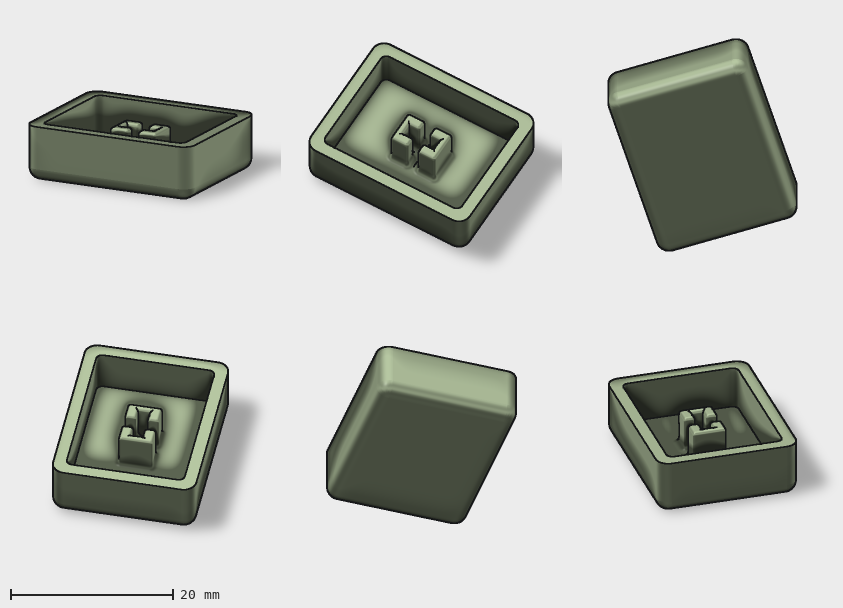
import cadquery as cq

length = 22.8
width = 18.05
height = 7.0
wall = 1.6
floor_thickness = 1.6
outer_radius = 1.6
bottom_radius = 1.57
cavity_radius = 0.8

gap = 1.44
bracket_length = 2.45
bracket_width = 4.29
bracket_height = 4.45
notch_depth = 1.44
notch_width = gap
corner_radius = 0.3
rim_radius = 0.4
foot_radius = 0.8

bracket_start = gap / 2
bracket_end = bracket_start + bracket_length
notch_end = bracket_start + notch_depth
bracket_top = floor_thickness + bracket_height
side = bracket_width / 2
notch_side = notch_width / 2

slab_thickness = floor_thickness / 2
slab_margin = 2 * foot_radius


def box_between(x_range, y_range, z_range):
    """Box spanning the given (low, high) pair along each axis."""
    spans = (x_range, y_range, z_range)
    sizes = [high - low for low, high in spans]
    corner = tuple(low for low, high in spans)
    return cq.Workplane("XY", origin=corner).box(*sizes, centered=False)


def make_tray():
    outside = (
        cq.Workplane("XY")
        .box(length, width, height, centered=(True, True, False))
        .edges("|Z")
        .fillet(outer_radius)
        .faces("<Z")
        .edges()
        .fillet(bottom_radius)
    )
    cavity = (
        cq.Workplane("XY", origin=(0, 0, floor_thickness))
        .box(length - 2 * wall, width - 2 * wall, height, centered=(True, True, False))
        .edges("|Z")
        .fillet(cavity_radius)
    )
    return outside.cut(cavity)


def make_post(y_range):
    """Rounded post as long as a bracket, on a slab sunk in the floor, with a concave fillet round its foot."""
    x_range = (bracket_start, bracket_end)
    slab_bottom = floor_thickness - slab_thickness
    slab = box_between(
        (x_range[0] - slab_margin, x_range[1] + slab_margin),
        (y_range[0] - slab_margin, y_range[1] + slab_margin),
        (slab_bottom, floor_thickness),
    )
    column = box_between(x_range, y_range, (slab_bottom, bracket_top)).edges("|Z").fillet(corner_radius)
    foot_edges = cq.selectors.BoxSelector(
        (x_range[0] - foot_radius, y_range[0] - foot_radius, floor_thickness - foot_radius),
        (x_range[1] + foot_radius, y_range[1] + foot_radius, floor_thickness + foot_radius),
    )
    return slab.union(column).faces(">Z[-2]").edges(foot_edges).fillet(foot_radius)


def make_bracket():
    """Right-hand bracket: two arms as far as the notch end, joined by a web beyond it."""
    arm_zone = box_between((-length / 2, notch_end), (-width / 2, width / 2), (0, height))
    bracket = make_post((-side, side)).cut(arm_zone)
    for y_range in ((-side, -notch_side), (notch_side, side)):
        bracket = bracket.union(make_post(y_range).intersect(arm_zone))
    return bracket


right_bracket = make_bracket()
left_bracket = right_bracket.mirror("YZ")
result = make_tray().union(right_bracket).union(left_bracket)

bracket_tops = cq.selectors.BoxSelector(
    (-bracket_end, -side, bracket_top - rim_radius), (bracket_end, side, bracket_top + rim_radius)
)
result = result.faces("+Z").faces(bracket_tops).edges().fillet(rim_radius)